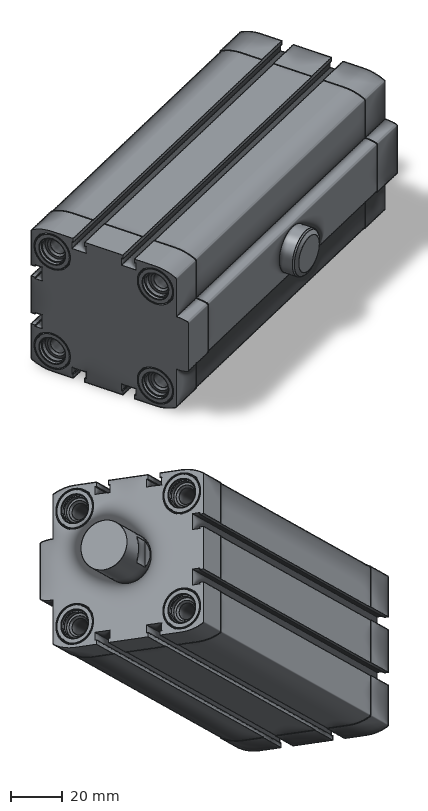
import cadquery as cq
import math


HOUSING_LENGTH = 158.0
CAP_LENGTH = 15.0
HOUSING_WIDTH = 65.5
HALF_WIDTH = HOUSING_WIDTH / 2
BARREL_INSET = 0.25
CORNER_ARC_RADIUS = 19.0
CORNER_EDGE_RADIUS = 1.0

RAIL_HEIGHT = 24.7
CAP_RAIL_FACE = 38.25

SLOT_OFFSET = 11.2
SLOT_MOUTH_WIDTH = 5.2
SLOT_INNER_WIDTH = 6.4
SLOT_LIP = 1.8
SLOT_DEPTH = 4.9

SCREW_SPACING = 46.5
SCREW_GAP_DIAMETER = 16.4
SCREW_HEAD_DIAMETER = 15.4
SCREW_GAP_DEPTH = 2.0
SCREW_MOUTH_DIAMETER = 12.0
SCREW_COUNTERBORE_DIAMETER = 11.6
SCREW_COUNTERBORE_DEPTH = 1.5
SCREW_BORE_DIAMETER = 10.5
SCREW_BORE_DEPTH = 3.5
THREAD_MOUTH_DIAMETER = 8.38
THREAD_DIAMETER = 6.65

ROD_DIAMETER = 20.0
ROD_LENGTH = 20.7
FLATS_WIDTH = 17.0
FLATS_LENGTH = 7.0
FLATS_START = 2.4

OVERALL_WIDTH = 78.2
CONNECTOR_DIAMETER = 20.0
CONNECTOR_FACE = OVERALL_WIDTH - HALF_WIDTH
CONNECTOR_EDGE_DIAMETER = 19.2
CONNECTOR_EDGE_LENGTH = 0.7
CONNECTOR_TIP_DIAMETER = 15.5
CONNECTOR_TIP_LENGTH = 0.9


def extrude_along_y(sketch, start, length):
    """Extrude an XZ outline from Y = start towards +Y."""
    return sketch.extrude(-length).translate((0, start, 0))


def arc_drop(run):
    """Fall of the shallow corner arc at a distance along from its crest."""
    return CORNER_ARC_RADIUS - math.sqrt(CORNER_ARC_RADIUS**2 - run**2)


def section_block(start, length, inset):
    """Stretch of housing with arched corners and the arched rail on its +X side."""
    half = HALF_WIDTH - inset
    rail_face = CAP_RAIL_FACE - inset
    arc_start = SCREW_SPACING / 2
    arc_end = half - arc_drop(half - arc_start)
    body = extrude_along_y(
        cq.Workplane("XZ")
        .moveTo(-arc_start, half)
        .lineTo(arc_start, half)
        .radiusArc((half, arc_end), CORNER_ARC_RADIUS)
        .lineTo(half, -arc_end)
        .radiusArc((arc_start, -half), CORNER_ARC_RADIUS)
        .lineTo(-arc_start, -half)
        .radiusArc((-half, -arc_end), CORNER_ARC_RADIUS)
        .lineTo(-half, arc_end)
        .radiusArc((-arc_start, half), CORNER_ARC_RADIUS)
        .close(),
        start,
        length,
    )
    body = body.edges("|Y and (<X or >X)").fillet(CORNER_EDGE_RADIUS)

    rail_root = RAIL_HEIGHT / 2 - inset
    rail_end = rail_root - arc_drop(rail_face - half)
    rail = extrude_along_y(
        cq.Workplane("XZ")
        .moveTo(0, -rail_root)
        .lineTo(0, rail_root)
        .lineTo(half, rail_root)
        .radiusArc((rail_face, rail_end), CORNER_ARC_RADIUS)
        .lineTo(rail_face, -rail_end)
        .radiusArc((half, -rail_root), CORNER_ARC_RADIUS)
        .close(),
        start,
        length,
    )
    return body.union(rail.edges("|Y and >X").fillet(CORNER_EDGE_RADIUS))


def t_slot(angle, offset):
    """T-slot cutter opening on the +Z face, turned about Y by the given angle."""
    mouth = cq.Workplane("XY").box(
        SLOT_MOUTH_WIDTH, HOUSING_LENGTH, SLOT_DEPTH, centered=(True, False, False)
    )
    inner = cq.Workplane("XY").box(
        SLOT_INNER_WIDTH, HOUSING_LENGTH, SLOT_DEPTH - SLOT_LIP, centered=(True, False, False)
    )
    cutter = mouth.union(inner).translate((offset, 0, HALF_WIDTH - SLOT_DEPTH))
    return cutter.rotate((0, 0, 0), (0, 1, 0), angle)


def screw_hole():
    """Front and rear cutters of a stepped hole along Y with a ring groove around each mouth."""
    mouth_radius = SCREW_MOUTH_DIAMETER / 2
    counterbore_radius = SCREW_COUNTERBORE_DIAMETER / 2
    bore_radius = SCREW_BORE_DIAMETER / 2
    thread_mouth_radius = THREAD_MOUTH_DIAMETER / 2
    thread_radius = THREAD_DIAMETER / 2
    half_hole = (
        cq.Workplane("XY")
        .moveTo(0, 0)
        .lineTo(mouth_radius, 0)
        .lineTo(counterbore_radius, mouth_radius - counterbore_radius)
        .lineTo(counterbore_radius, SCREW_COUNTERBORE_DEPTH)
        .lineTo(bore_radius, SCREW_COUNTERBORE_DEPTH)
        .lineTo(bore_radius, SCREW_BORE_DEPTH)
        .lineTo(thread_mouth_radius, SCREW_BORE_DEPTH)
        .lineTo(thread_radius, SCREW_BORE_DEPTH + thread_mouth_radius - thread_radius)
        .lineTo(thread_radius, HOUSING_LENGTH / 2)
        .lineTo(0, HOUSING_LENGTH / 2)
        .close()
        .revolve(360, (0, 0, 0), (0, 1, 0))
    )
    groove = extrude_along_y(
        cq.Workplane("XZ").circle(SCREW_GAP_DIAMETER / 2).circle(SCREW_HEAD_DIAMETER / 2),
        0,
        SCREW_GAP_DEPTH,
    )
    half_cutter = half_hole.union(groove)
    other_half = half_cutter.mirror("XZ").translate((0, HOUSING_LENGTH, 0))
    return half_cutter, other_half


def make_housing():
    """Barrel with its two end caps, slotted and drilled from end to end."""
    barrel_length = HOUSING_LENGTH - 2 * CAP_LENGTH
    body = section_block(CAP_LENGTH, barrel_length, BARREL_INSET)
    for cap_start in (0, HOUSING_LENGTH - CAP_LENGTH):
        body = body.union(section_block(cap_start, CAP_LENGTH, 0))
    for angle in (0, 180, -90):
        for offset in (-SLOT_OFFSET, SLOT_OFFSET):
            body = body.cut(t_slot(angle, offset))
    hole_halves = screw_hole()
    for x_side in (-1, 1):
        for z_side in (-1, 1):
            place = (x_side * SCREW_SPACING / 2, 0, z_side * SCREW_SPACING / 2)
            for hole_half in hole_halves:
                body = body.cut(hole_half.translate(place))
    return body


def make_rod():
    """Rod end standing on the rear face, with two wrench flats facing -X and +X."""
    rod = extrude_along_y(cq.Workplane("XZ").circle(ROD_DIAMETER / 2), HOUSING_LENGTH, ROD_LENGTH)
    flat = FLATS_WIDTH / 2
    reach = ROD_DIAMETER / 2
    ramp = reach - flat
    near = HOUSING_LENGTH + FLATS_START
    far = near + FLATS_LENGTH
    cutter = (
        cq.Workplane("XY")
        .polyline([(flat, near), (reach, near - ramp), (reach, far + ramp), (flat, far)])
        .close()
        .extrude(reach, both=True)
    )
    return rod.cut(cutter).cut(cutter.mirror("YZ"))


def make_connector():
    """Round stub on the barrel rail, halfway along the housing."""
    rail_face = CAP_RAIL_FACE - BARREL_INSET
    tip_start = CONNECTOR_FACE - CONNECTOR_TIP_LENGTH
    edge_start = tip_start - CONNECTOR_EDGE_LENGTH
    return (
        cq.Workplane("XY")
        .moveTo(rail_face, 0)
        .lineTo(rail_face, CONNECTOR_DIAMETER / 2)
        .lineTo(edge_start, CONNECTOR_DIAMETER / 2)
        .lineTo(tip_start, CONNECTOR_EDGE_DIAMETER / 2)
        .lineTo(CONNECTOR_FACE, CONNECTOR_TIP_DIAMETER / 2)
        .lineTo(CONNECTOR_FACE, 0)
        .close()
        .revolve(360, (0, 0, 0), (1, 0, 0))
        .translate((0, HOUSING_LENGTH / 2, 0))
    )


housing = make_housing()
rod = make_rod()
connector = make_connector()

result = cq.Compound.makeCompound([housing.val(), rod.val(), connector.val()])